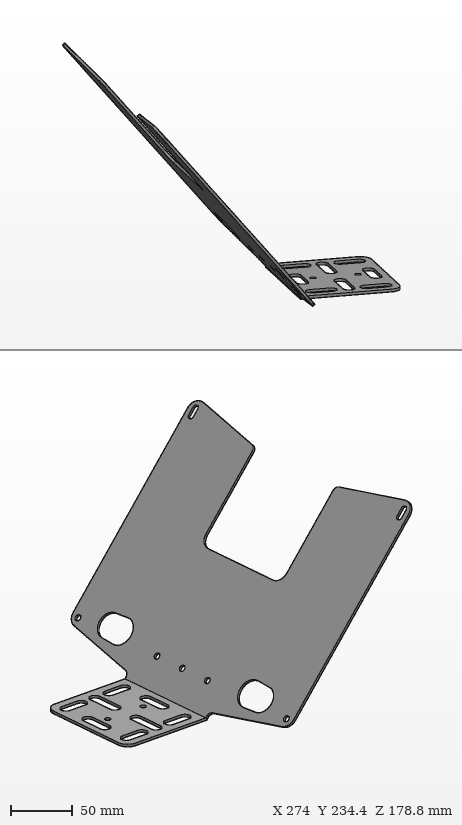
import cadquery as cq
import math

thickness = 2.5
bend_angle = 50.0
tab_width = 100.3
half_tab = tab_width / 2
bevel_depth = thickness * math.sin(math.radians(bend_angle))
bevel_height = thickness * math.cos(math.radians(bend_angle))
bevel_base = thickness - bevel_height

mount_length = 86.5
mount_corner_radius = 10.0
pattern_y = 44.5
slot_width = 10.0
side_slot_length = 26.3
side_slot_x = 37.5
side_slot_offset = 23.0
middle_slot_length = 34.5
middle_slot_x = 25.5
end_slot_length = 30.7
end_slot_offset = 31.0
mount_hole_diameter = 5.0
mount_hole_offset = 19.0

panel_width = 274.0
half_panel = panel_width / 2
tab_length = 5.5
wing_length = 210.0
wing_rise = 16.7
notch_floor = 124.7
wing_corner_radius = 10.0
notch_corner_radius = 10.0
small_corner_radius = 5.0
panel_hole_diameter = 5.5
hole_row = 28.0
middle_hole_pitch = 31.2
corner_hole_x = 129.3
top_slot_row = 219.2
top_slot_length = 12.5
handle_x = 87.0
handle_row = 33.5
handle_length = 38.5
handle_outer_radius = 11.5
handle_inner_radius = 12.3


def mirrored(x, y):
    return [(-x, y), (x, y)]


def four_corners(x, y_centre, y_offset):
    return mirrored(x, y_centre - y_offset) + mirrored(x, y_centre + y_offset)


def bevel_front(plate):
    """Cut the front end of the mounting plate to seat the square end of the panel."""
    wedge = (
        cq.Workplane("YZ")
        .polyline([(0, bevel_base), (bevel_depth, thickness), (0, thickness)])
        .close()
        .extrude(half_tab, both=True)
    )
    return plate.cut(wedge)


def make_mounting_plate():
    plate = (
        cq.Workplane("XY")
        .rect(tab_width, mount_length)
        .extrude(thickness)
        .translate((0, mount_length / 2, 0))
        .edges("|Z and >Y")
        .fillet(mount_corner_radius)
    )
    cutters = cq.Workplane("XY")
    side_slots = (
        cutters.pushPoints(four_corners(side_slot_x, pattern_y, side_slot_offset))
        .slot2D(side_slot_length, slot_width, 90)
        .extrude(thickness)
    )
    middle_slots = (
        cutters.pushPoints(mirrored(middle_slot_x, pattern_y))
        .slot2D(middle_slot_length, slot_width)
        .extrude(thickness)
    )
    end_slots = (
        cutters.pushPoints([(0, pattern_y - end_slot_offset), (0, pattern_y + end_slot_offset)])
        .slot2D(end_slot_length, slot_width)
        .extrude(thickness)
    )
    holes = (
        cutters.pushPoints([(0, pattern_y - mount_hole_offset), (0, pattern_y + mount_hole_offset)])
        .circle(mount_hole_diameter / 2)
        .extrude(thickness)
    )
    return bevel_front(plate.cut(side_slots).cut(middle_slots).cut(end_slots).cut(holes))


def round_corners(plate, x, y, radius):
    """Round the vertical edges of a plate at (-x, y) and (x, y)."""
    for corner_x, corner_y in mirrored(x, y):
        edge = cq.selectors.NearestToPointSelector((corner_x, corner_y, thickness / 2))
        plate = plate.edges("|Z").edges(edge).fillet(radius)
    return plate


def make_panel_blank():
    right_side = [
        (half_tab, 0),
        (half_tab, tab_length),
        (half_panel, tab_length + wing_rise),
        (half_panel, tab_length + wing_rise + wing_length),
        (half_tab, tab_length + wing_length),
        (half_tab, notch_floor),
    ]
    left_side = [(-x, y) for x, y in reversed(right_side)]
    blank = cq.Workplane("XY").polyline(right_side + left_side).close().extrude(thickness)
    corner_radii = [
        small_corner_radius,
        wing_corner_radius,
        wing_corner_radius,
        small_corner_radius,
        notch_corner_radius,
    ]
    for (x, y), radius in zip(right_side[1:], corner_radii):
        blank = round_corners(blank, x, y, radius)
    return blank


def make_handle_cutter():
    """Right handle opening: two end arcs of unequal radius joined by their tangent lines."""
    inner_x = handle_x - handle_length / 2 + handle_inner_radius
    outer_x = handle_x + handle_length / 2 - handle_outer_radius
    taper = math.asin((handle_inner_radius - handle_outer_radius) / (outer_x - inner_x))
    inner_dx = handle_inner_radius * math.sin(taper)
    inner_dy = handle_inner_radius * math.cos(taper)
    outer_dx = handle_outer_radius * math.sin(taper)
    outer_dy = handle_outer_radius * math.cos(taper)
    return (
        cq.Workplane("XY")
        .moveTo(inner_x + inner_dx, handle_row - inner_dy)
        .lineTo(outer_x + outer_dx, handle_row - outer_dy)
        .threePointArc(
            (outer_x + handle_outer_radius, handle_row),
            (outer_x + outer_dx, handle_row + outer_dy),
        )
        .lineTo(inner_x + inner_dx, handle_row + inner_dy)
        .threePointArc(
            (inner_x - handle_inner_radius, handle_row),
            (inner_x + inner_dx, handle_row - inner_dy),
        )
        .close()
        .extrude(thickness)
    )


def make_support_panel():
    cutters = cq.Workplane("XY")
    hole_points = mirrored(corner_hole_x, hole_row) + mirrored(middle_hole_pitch, hole_row)
    holes = (
        cutters.pushPoints(hole_points + [(0, hole_row)])
        .circle(panel_hole_diameter / 2)
        .extrude(thickness)
    )
    top_slots = (
        cutters.pushPoints(mirrored(corner_hole_x, top_slot_row))
        .slot2D(top_slot_length, panel_hole_diameter, 90)
        .extrude(thickness)
    )
    panel = make_panel_blank().cut(holes).cut(top_slots)
    right_handle = make_handle_cutter()
    panel = panel.cut(right_handle).cut(right_handle.mirror("YZ"))
    panel = panel.rotate((0, 0, 0), (0, 0, 1), 180).rotate((0, 0, 0), (1, 0, 0), -bend_angle)
    return panel.translate((0, 0, bevel_base))


mounting_plate = make_mounting_plate()
support_panel = make_support_panel()

result = cq.Compound.makeCompound([mounting_plate.val(), support_panel.val()])